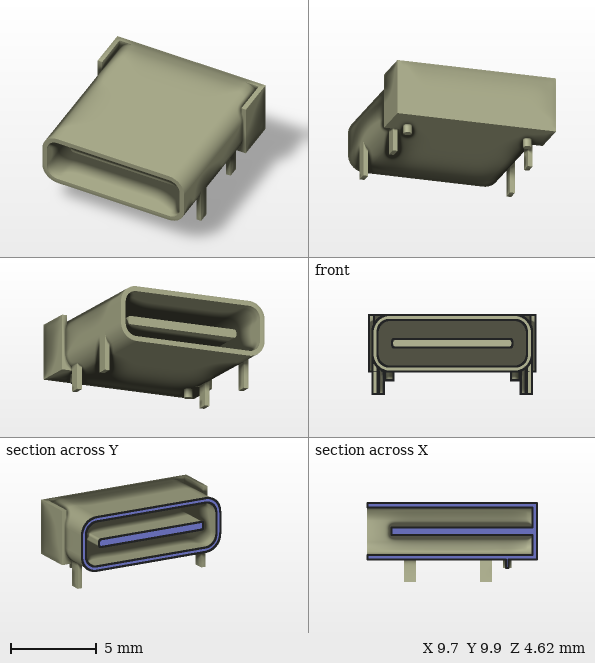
import cadquery as cq

total_length = 9.9
bracket_width = 9.7
shell_width = 9.28
shell_height = 3.31
wall = 0.3
shell_corner_radius = 1.0

bracket_side_length = 2.49

tongue_width = 6.98
tongue_thickness = 0.5
tongue_corner_radius = 0.14
tongue_length = 8.2

leg_drop = 1.31
leg_length = 0.7
leg_thickness = 0.3
front_leg_setback = 2.16
rear_leg_setback = 6.58
rear_leg_outer_x = 4.28
rear_leg_top = 0.26

peg_diameter = 0.5
peg_drop = 0.5
peg_x = 3.66
peg_setback = 8.16

back_wall_y = total_length - wall
mid_height = shell_height / 2


def rounded_bar(width, height, corner_radius, start_y, end_y):
    """Bar along Y, centred on the mouth, with its four long edges rounded."""
    length = end_y - start_y
    return (
        cq.Workplane("XY")
        .box(width, length, height)
        .edges("|Y")
        .fillet(corner_radius)
        .translate((0, start_y + length / 2, mid_height))
    )


def make_shell():
    """Outer form of the shell, still solid."""
    return rounded_bar(shell_width, shell_height, shell_corner_radius, 0, back_wall_y)


def make_cavity():
    """Mouth of the connector, closed at the rear by the bracket's back wall."""
    return rounded_bar(
        shell_width - 2 * wall,
        shell_height - 2 * wall,
        shell_corner_radius - wall,
        0,
        back_wall_y,
    )


def make_bracket():
    """Block across the rear, opened above mid height so that gaps remain beside the upper shell corners."""
    bracket_front_y = total_length - bracket_side_length
    block = (
        cq.Workplane("XY")
        .box(bracket_width, bracket_side_length, shell_height, centered=(True, False, False))
        .translate((0, bracket_front_y, 0))
    )
    upper_opening = (
        cq.Workplane("XY")
        .box(
            bracket_width - 2 * wall,
            bracket_side_length - wall,
            shell_height - mid_height,
            centered=(True, False, False),
        )
        .translate((0, bracket_front_y, mid_height))
    )
    return block.cut(upper_opening)


def make_tongue():
    return rounded_bar(
        tongue_width, tongue_thickness, tongue_corner_radius, back_wall_y - tongue_length, back_wall_y
    )


def make_leg(side, outer_x, setback, top):
    """Flat leg from the given top height down to the common leg tip level."""
    return (
        cq.Workplane("XY")
        .box(leg_thickness, leg_length, top + leg_drop, centered=(True, False, False))
        .translate((side * (outer_x - leg_thickness / 2), setback, -leg_drop))
    )


def make_peg(side):
    """Round peg rooted inside the shell floor."""
    return (
        cq.Workplane("XY", origin=(side * peg_x, peg_setback, -peg_drop))
        .circle(peg_diameter / 2)
        .extrude(peg_drop + wall / 2)
    )


result = make_shell().union(make_bracket()).cut(make_cavity()).union(make_tongue())
for side in (-1, 1):
    result = result.union(make_leg(side, shell_width / 2, front_leg_setback, shell_corner_radius))
    result = result.union(make_leg(side, rear_leg_outer_x, rear_leg_setback, rear_leg_top))
    result = result.union(make_peg(side))